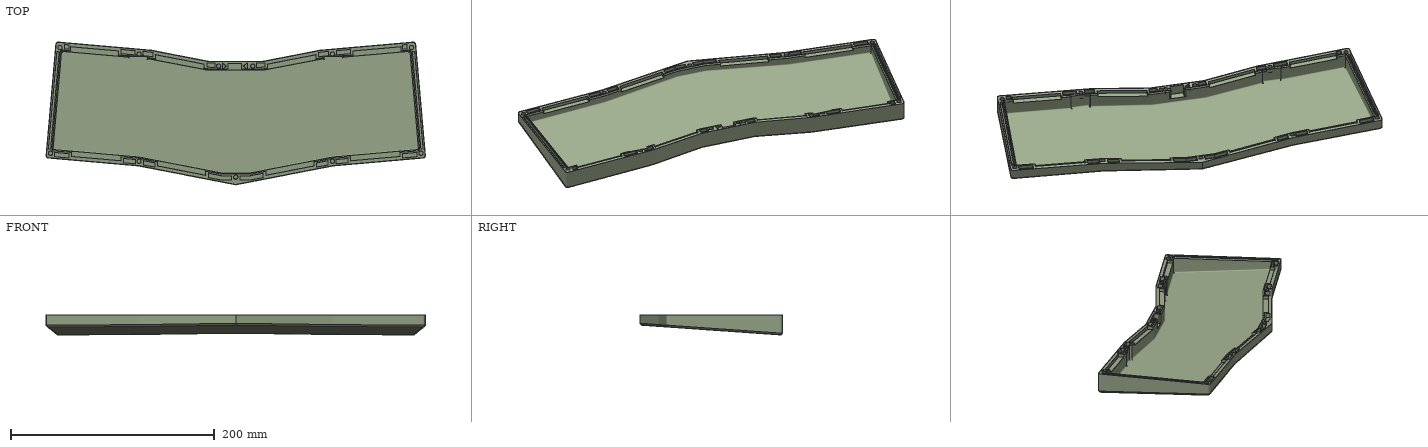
import cadquery as cq
import math

overall_width = 372.74
overall_depth = 140.21
overall_height = 19.62

inner_angle = 11.0
outer_angle = 5.0
tilt_angle = 4.0
front_bend_x = 95.5
back_flat_x = 27.0
back_bend_x = 83.0

wall = 8.7
side_wall = 6.2
floor_thickness = 2.5
corner_radius = 2.5
bottom_chamfer = 1.8
floor_fillet = 1.0
mouth_chamfer = 1.2
back_panel_outer_x = 105.5
back_panel_inner_x = 86.5
back_panel_recess = 0.8
front_flat_x = 14.6

back_ledge_spans = [(31.0, 79.0), (115.0, 162.5)]
front_ledge_spans = [(29.5, 77.0), (112.6, 161.5)]
back_pocket_spans = [(20.5, 28.5), (81.5, 91.0), (99.0, 112.6), (163.7, 168.2)]
front_pocket_spans = [(front_flat_x, 27.0), (79.5, 90.5), (98.5, 110.5), (164.0, 178.0)]
centre_pocket_x = 4.0
ledge_overrun = 1.0
rim = 3.5
ledge_depth = 3.3
pocket_inset = 1.8
pocket_width = 4.2
pocket_depth = 4.0
groove_inset = 1.7
groove_width = 2.2
groove_depth = 4.0
groove_end_gap = 4.0
screw_diameter = 4.2
screw_depth = 6.0
screw_inset = 4.7
bend_screw_x = 95.0
centre_screw_x = 16.8
corner_screw_front = (182.0, -39.1)
corner_screw_back = (172.7, 64.8)

connector_x = -0.9
connector_width = 13.5
connector_depth = 10.0
connector_wall = 2.2
connector_bevel = 1.5
notch_base_x = 12.3
notch_tip_x = 8.2
notch_half_width = 3.0

inner_slope = math.tan(math.radians(inner_angle))
outer_slope = math.tan(math.radians(outer_angle))
tilt_slope = math.tan(math.radians(tilt_angle))
front_y = -overall_depth / 2
back_y = overall_depth / 2

turn = math.radians(outer_angle)
corner_trim = corner_radius * (math.cos(turn) + math.sin(turn) - 1)
side_front_x = overall_width / 2 + corner_trim
side_back_y = back_y + corner_trim


def front_line(x):
    """Y of the outer front edge at distance x from the centre."""
    near = min(x, front_bend_x)
    return front_y + near * inner_slope + (x - near) * outer_slope


def side_line(y):
    """Distance of the outer side edge from the centre at a given Y."""
    return side_front_x - (y - front_line(side_front_x)) * outer_slope


side_back_x = side_line(side_back_y)
back_bend_y = side_back_y - (side_back_x - back_bend_x) * outer_slope
back_flat_y = back_bend_y - (back_bend_x - back_flat_x) * inner_slope


def back_line(x):
    """Y of the outer back edge at distance x from the centre."""
    near = min(max(x, back_flat_x), back_bend_x)
    far = max(x, back_bend_x) - back_bend_x
    return back_flat_y + (near - back_flat_x) * inner_slope + far * outer_slope


def mirrored(right_half):
    """Close a right-half point list with its mirror image."""
    return right_half + [(-x, y) for x, y in reversed(right_half) if x != 0]


def prism(points, bottom, top):
    """Upright prism over an XY outline."""
    return cq.Workplane("XY").workplane(offset=bottom).polyline(points).close().extrude(top - bottom)


def half_space_above(height_at_back):
    """Block above the tilted plane that has the given Z at the back edge."""
    reach = overall_width
    low = height_at_back - (reach - back_y) * tilt_slope
    high = height_at_back + (reach + back_y) * tilt_slope
    outline = [(reach, low), (-reach, high), (-reach, reach), (reach, reach)]
    return cq.Workplane("YZ").polyline(outline).close().extrude(reach, both=True)


def outer_body():
    """Solid block with rounded side corners and a tilted, bevelled underside."""
    outline = mirrored([
        (0, front_y),
        (front_bend_x, front_line(front_bend_x)),
        (side_front_x, front_line(side_front_x)),
        (side_back_x, side_back_y),
        (back_bend_x, back_bend_y),
        (back_flat_x, back_flat_y),
    ])
    body = prism(outline, -overall_height, overall_height)
    body = body.edges("|Z and (>X or <X)").fillet(corner_radius)
    body = body.edges("|Z and >Y").fillet(corner_radius)
    body = body.intersect(half_space_above(-bottom_chamfer * tilt_slope))
    return body.faces("<Z").chamfer(bottom_chamfer)


def cavity():
    """Inside space: upright walls, a floor parallel to the underside and a bevelled mouth."""
    side_offset = side_wall / math.cos(math.radians(outer_angle))
    inner_offset = wall / math.cos(math.radians(inner_angle))
    outer_offset = wall / math.cos(math.radians(outer_angle))
    front_x = side_line(front_line(side_front_x) + outer_offset) - side_offset
    back_x = side_line(back_y - outer_offset) - side_offset
    panel_y = back_line(back_panel_outer_x) - outer_offset + back_panel_recess
    outline = mirrored([
        (front_flat_x, front_line(front_flat_x) + inner_offset),
        (front_bend_x, front_line(front_bend_x) + outer_offset),
        (front_x, front_line(front_x) + outer_offset),
        (back_x, back_line(back_x) - outer_offset),
        (back_panel_outer_x, back_line(back_panel_outer_x) - outer_offset),
        (back_panel_outer_x, panel_y),
        (back_panel_inner_x, panel_y),
        (back_panel_inner_x, back_line(back_panel_inner_x) - inner_offset),
        (back_bend_x, back_bend_y - inner_offset),
        (back_flat_x, back_flat_y - wall),
    ])
    space = prism(outline, 0, overall_height)
    space = space.intersect(half_space_above(floor_thickness))
    space = space.faces("<Z").edges().fillet(floor_fillet)
    mouth = cq.Workplane("XY").workplane(offset=overall_height - mouth_chamfer)
    mouth = mouth.polyline(outline).close().extrude(mouth_chamfer, taper=-45)
    return space.union(mouth)


def wall_cut(edge, into, start_x, end_x, near, far, depth):
    """Recess along a wall, between two distances from its outer edge."""
    def across(x, distance):
        slope = (edge(end_x) - edge(start_x)) / (end_x - start_x)
        return edge(x) + into * distance * math.hypot(1, slope)

    outline = [
        (start_x, across(start_x, near)),
        (end_x, across(end_x, near)),
        (end_x, across(end_x, far)),
        (start_x, across(start_x, far)),
    ]
    cut = prism(outline, overall_height - depth, overall_height)
    return cut.union(cut.mirror("YZ"))


def front_flat_line(x):
    """Front reference edge that stays level across the flat stretch of the inner wall."""
    return front_line(max(x, front_flat_x))


def ledges():
    """Low steps between the screw bosses, open towards the cavity."""
    far = wall + ledge_overrun
    cuts = [wall_cut(back_line, -1, *span, rim, far, ledge_depth) for span in back_ledge_spans]
    cuts += [wall_cut(front_line, 1, *span, rim, far, ledge_depth) for span in front_ledge_spans]
    return cuts


def pockets():
    """Blind slots beside the screws, running along the wall."""
    near = pocket_inset
    far = pocket_inset + pocket_width
    centre_span = (centre_pocket_x, front_flat_x)
    cuts = [wall_cut(back_line, -1, *span, near, far, pocket_depth) for span in back_pocket_spans]
    cuts += [wall_cut(front_line, 1, *span, near, far, pocket_depth) for span in front_pocket_spans]
    cuts.append(wall_cut(front_flat_line, 1, *centre_span, near, far, pocket_depth))
    return cuts


def side_grooves():
    """Narrow groove along the top of each side wall, between the corner screws."""
    front_groove_y = corner_screw_front[1] + groove_end_gap
    back_groove_y = corner_screw_back[1] - groove_end_gap
    near = groove_inset
    far = groove_inset + groove_width
    outline = [
        (side_line(front_groove_y) - near, front_groove_y),
        (side_line(back_groove_y) - near, back_groove_y),
        (side_line(back_groove_y) - far, back_groove_y),
        (side_line(front_groove_y) - far, front_groove_y),
    ]
    cut = prism(outline, overall_height - groove_depth, overall_height)
    return cut.union(cut.mirror("YZ"))


def screw_holes():
    """Blind screw holes around the rim."""
    right_side = [
        corner_screw_front,
        corner_screw_back,
        (bend_screw_x, front_line(bend_screw_x) + screw_inset),
        (bend_screw_x, back_line(bend_screw_x) - screw_inset),
        (centre_screw_x, back_flat_y - screw_inset),
    ]
    spots = mirrored(right_side) + [(0, front_flat_line(0) + screw_inset)]
    plane = cq.Workplane("XY").workplane(offset=overall_height - screw_depth)
    return plane.pushPoints(spots).circle(screw_diameter / 2).extrude(screw_depth)


def connector_opening():
    """Notch for the connector, open to the cavity, with bevelled inner corners."""
    outer_y = back_flat_y - connector_wall
    inner_y = back_flat_y - wall
    half = connector_width / 2
    mouth = half + connector_bevel
    outline = [
        (connector_x - half, outer_y),
        (connector_x + half, outer_y),
        (connector_x + half, inner_y + connector_bevel),
        (connector_x + mouth, inner_y),
        (connector_x - mouth, inner_y),
        (connector_x - half, inner_y + connector_bevel),
    ]
    return prism(outline, overall_height - connector_depth, overall_height)


def connector_side_pockets():
    """Triangular pockets either side of the connector, pointing at it."""
    middle_y = back_flat_y - screw_inset
    pockets_pair = cq.Workplane("XY")
    for side in (-1, 1):
        base_x = connector_x + side * notch_base_x
        tip_x = connector_x + side * notch_tip_x
        outline = [
            (base_x, middle_y - notch_half_width),
            (base_x, middle_y + notch_half_width),
            (tip_x, middle_y),
        ]
        pockets_pair = pockets_pair.add(prism(outline, overall_height - pocket_depth, overall_height))
    return pockets_pair.combine()


result = outer_body().cut(cavity())
for recess in ledges() + pockets():
    result = result.cut(recess)
result = result.cut(side_grooves())
result = result.cut(screw_holes())
result = result.cut(connector_opening())
result = result.cut(connector_side_pockets())